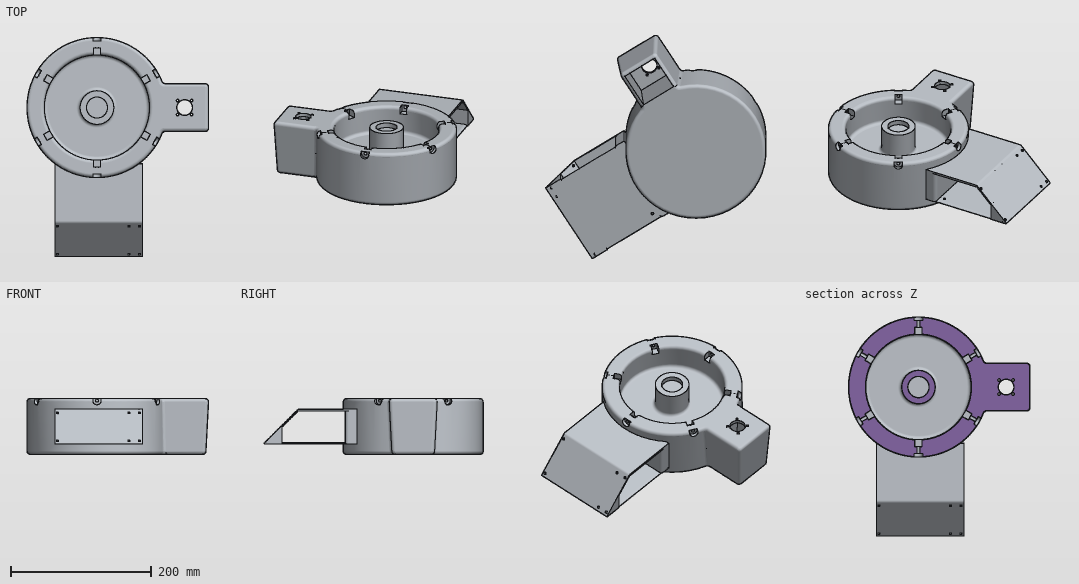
import cadquery as cq
import math

BODY_RADIUS = 100.0
BODY_HEIGHT = 80.0
EDGE_FILLET = 5.0
PAN_RADIUS = 75.0
PAN_FLOOR_Z = 40.0

HUB_RADIUS = 24.0
BEARING_DIAMETER = 30.0
BEARING_DEPTH = 7.0

ARM_BOTTOM_LENGTH = 155.34
ARM_BOTTOM_WIDTH = 60.6
ARM_DRAFT = 3.0
ARM_WALL = 5.0
ARM_CAVITY_START = BODY_RADIUS
MOTOR_X = 125.0
MOTOR_HOLE_DIAMETER = 22.0
MOTOR_SCREW_DIAMETER = 3.3
MOTOR_SCREW_PITCH = 20.0

SCREW_COUNT = 6
SCREW_FIRST_ANGLE = 30.0
SCREW_Z = 77.0
SCREW_DIAMETER = 4.2
HEAD_SLOT_WIDTH = 12.0
HEAD_SEAT_DEPTH = 5.0
HEAD_SEAT_RADIUS = BODY_RADIUS - HEAD_SEAT_DEPTH
NUT_POCKET_WIDTH = 10.0
NUT_POCKET_DEPTH = 10.0
NUT_POCKET_REACH = 10.0
NUT_SEAT_RADIUS = PAN_RADIUS + NUT_POCKET_REACH

CHUTE_X_MIN = -60.0
CHUTE_X_MAX = 65.0
CHUTE_BOTTOM_Z = 15.0
CHUTE_TOP_Z = 65.0
CHUTE_TIP_Y = -212.62
CHUTE_TIP_FILLET = 1.0
CHUTE_FOLD_FILLET = 5.0
CHUTE_FLOOR = 2.0
CHUTE_ROOF = 3.0
CHUTE_FRONT_WALL = 2.0
CHUTE_BACK_Y = -97.0
CHUTE_FRONT_Y = -187.0
CHUTE_POST_FILLET = 5.0
CHUTE_SILL_FILLET = 5.0

CHUTE_SHARP_TIP_Y = CHUTE_TIP_Y - CHUTE_TIP_FILLET * math.sqrt(2)
CHUTE_FOLD_Y = CHUTE_SHARP_TIP_Y + CHUTE_TOP_Z - CHUTE_BOTTOM_Z

PLATE_HOLE_DIAMETER = 3.05
PLATE_HOLE_X = (-56.5, 45.5, 60.5)
PLATE_HOLE_Y = (-169.4, -209.2)
PLATE_HOLE_DEPTH = 5.0

FLOOR_HOLE_DIAMETER = 3.4
FLOOR_HOLE_X = -48.5
FLOOR_HOLE_Y = -104.0

OVERCUT = 1.0


def drafted_block(x_start, x_end, width, height):
    """Block standing on Z=0 whose end and long sides lean outwards by the arm draft."""
    lean = height * math.tan(math.radians(ARM_DRAFT))
    length = x_end - x_start
    return (
        cq.Workplane("XY")
        .center(x_start + length / 2, 0)
        .rect(length, width)
        .workplane(offset=height)
        .center(lean / 2, 0)
        .rect(length + lean, width + 2 * lean)
        .loft(ruled=True)
    )


def upright_edges(x_start, x_end):
    """Selector for edges centred between two X positions and around half the body height."""
    middle_z = BODY_HEIGHT / 2
    return cq.selectors.BoxSelector(
        (x_start, -BODY_RADIUS, middle_z - EDGE_FILLET),
        (x_end, BODY_RADIUS, middle_z + EDGE_FILLET),
    )


def make_shell():
    """Round housing with the drafted motor arm blended into it, all outer edges rounded."""
    body = cq.Workplane("XY").circle(BODY_RADIUS).extrude(BODY_HEIGHT)
    arm = drafted_block(0, ARM_BOTTOM_LENGTH, ARM_BOTTOM_WIDTH, BODY_HEIGHT)
    shell = body.union(arm)
    junctions = upright_edges(PAN_RADIUS, BODY_RADIUS)
    shell = shell.edges(junctions).fillet(EDGE_FILLET)
    arm_corners = upright_edges(MOTOR_X, BODY_RADIUS + ARM_BOTTOM_LENGTH)
    rims = shell.faces("<Z or >Z").edges()
    return rims.add(shell.edges(arm_corners)).fillet(EDGE_FILLET)


def make_pan():
    """Volume of the round pan: filleted floor, rounded rim and the hub left standing."""
    inset = EDGE_FILLET * (1 - math.sqrt(0.5))
    hub_foot = HUB_RADIUS + EDGE_FILLET
    floor_edge = PAN_RADIUS - EDGE_FILLET
    fillet_top_z = PAN_FLOOR_Z + EDGE_FILLET
    rim_radius = PAN_RADIUS + EDGE_FILLET
    return (
        cq.Workplane("XZ")
        .moveTo(HUB_RADIUS, BODY_HEIGHT)
        .lineTo(HUB_RADIUS, fillet_top_z)
        .threePointArc((HUB_RADIUS + inset, PAN_FLOOR_Z + inset), (hub_foot, PAN_FLOOR_Z))
        .lineTo(floor_edge, PAN_FLOOR_Z)
        .threePointArc((PAN_RADIUS - inset, PAN_FLOOR_Z + inset), (PAN_RADIUS, fillet_top_z))
        .lineTo(PAN_RADIUS, BODY_HEIGHT - EDGE_FILLET)
        .threePointArc((PAN_RADIUS + inset, BODY_HEIGHT - inset), (rim_radius, BODY_HEIGHT))
        .close()
        .revolve(360, (0, 0, 0), (0, 1, 0))
    )


def make_bearing_seat():
    """Blind bearing seat in the top of the hub."""
    return (
        cq.Workplane("XY", origin=(0, 0, BODY_HEIGHT - BEARING_DEPTH))
        .circle(BEARING_DIAMETER / 2)
        .extrude(BEARING_DEPTH)
    )


def make_motor_cuts():
    """Arm cavity open at the bottom, and the motor holes through its roof."""
    cavity = drafted_block(
        ARM_CAVITY_START,
        ARM_BOTTOM_LENGTH - ARM_WALL,
        ARM_BOTTOM_WIDTH - 2 * ARM_WALL,
        BODY_HEIGHT - ARM_WALL,
    )
    roof = cq.Workplane("XY", origin=(MOTOR_X, 0, BODY_HEIGHT - 2 * ARM_WALL))
    shaft = roof.circle(MOTOR_HOLE_DIAMETER / 2).extrude(2 * ARM_WALL)
    screws = (
        roof.rect(MOTOR_SCREW_PITCH, MOTOR_SCREW_PITCH, forConstruction=True)
        .vertices()
        .circle(MOTOR_SCREW_DIAMETER / 2)
        .extrude(2 * ARM_WALL)
    )
    return cavity.union(shaft).union(screws)


def make_rim_screw():
    """Head slot, screw hole and nut pocket of one rim screw along +X."""
    head_seat = cq.Workplane("YZ", origin=(HEAD_SEAT_RADIUS, 0, 0))
    head_length = BODY_RADIUS + OVERCUT - HEAD_SEAT_RADIUS
    head = head_seat.center(0, SCREW_Z).circle(HEAD_SLOT_WIDTH / 2).extrude(head_length)
    slot_height = BODY_HEIGHT + OVERCUT - SCREW_Z
    slot = (
        head_seat.center(0, SCREW_Z + slot_height / 2)
        .rect(HEAD_SLOT_WIDTH, slot_height)
        .extrude(head_length)
    )
    hole = (
        cq.Workplane("YZ", origin=(PAN_RADIUS, 0, SCREW_Z))
        .circle(SCREW_DIAMETER / 2)
        .extrude(BODY_RADIUS - PAN_RADIUS)
    )
    pocket_length = 2 * (NUT_SEAT_RADIUS - PAN_RADIUS)
    pocket_x = NUT_SEAT_RADIUS - pocket_length / 2
    pocket = (
        cq.Workplane("XY", origin=(pocket_x, 0, BODY_HEIGHT - NUT_POCKET_DEPTH))
        .rect(pocket_length, NUT_POCKET_WIDTH)
        .extrude(NUT_POCKET_DEPTH)
    )
    return head.union(slot).union(hole).union(pocket)


def chute_prism(points):
    """Outline in the YZ plane extruded over the full width of the chute."""
    return (
        cq.Workplane("YZ", origin=(CHUTE_X_MIN, 0, 0))
        .polyline(points)
        .close()
        .extrude(CHUTE_X_MAX - CHUTE_X_MIN)
    )


def make_passage():
    """Passage through the chute along X, which also trims the housing wall."""
    floor_z = CHUTE_BOTTOM_Z + CHUTE_FLOOR
    roof_z = CHUTE_TOP_Z - CHUTE_ROOF
    fold_y = CHUTE_FOLD_Y + CHUTE_FRONT_WALL * math.sqrt(2) - CHUTE_ROOF
    return chute_prism(
        [
            (CHUTE_BACK_Y, floor_z),
            (CHUTE_FRONT_Y, floor_z),
            (CHUTE_FRONT_Y, roof_z - (fold_y - CHUTE_FRONT_Y)),
            (fold_y, roof_z),
            (CHUTE_BACK_Y, roof_z),
        ]
    )


def make_chute():
    """Chute with rounded posts, sills, fold and tip."""
    rear_y = -PAN_RADIUS - EDGE_FILLET
    deep_z = CHUTE_BOTTOM_Z - CHUTE_SILL_FILLET
    chute = chute_prism(
        [
            (rear_y, deep_z),
            (CHUTE_SHARP_TIP_Y - CHUTE_SILL_FILLET, deep_z),
            (CHUTE_FOLD_Y, CHUTE_TOP_Z),
            (rear_y, CHUTE_TOP_Z),
        ]
    ).cut(make_passage())
    middle_y = (CHUTE_FRONT_Y + CHUTE_BACK_Y) / 2
    middle_z = (CHUTE_BOTTOM_Z + CHUTE_TOP_Z) / 2
    for x in (CHUTE_X_MIN, CHUTE_X_MAX):
        post = cq.selectors.NearestToPointSelector((x, CHUTE_BACK_Y, middle_z))
        chute = chute.edges(post).fillet(CHUTE_POST_FILLET)
    for x in (CHUTE_X_MIN, CHUTE_X_MAX):
        sill = cq.selectors.NearestToPointSelector((x, middle_y, CHUTE_BOTTOM_Z + CHUTE_FLOOR))
        chute = chute.edges(sill).fillet(CHUTE_SILL_FILLET)
    middle_x = (CHUTE_X_MIN + CHUTE_X_MAX) / 2
    trim = chute_prism(
        [
            (rear_y, deep_z),
            (CHUTE_SHARP_TIP_Y - CHUTE_SILL_FILLET, deep_z),
            (CHUTE_SHARP_TIP_Y - CHUTE_SILL_FILLET, CHUTE_BOTTOM_Z),
            (rear_y, CHUTE_BOTTOM_Z),
        ]
    )
    chute = chute.cut(trim)
    fold = cq.selectors.NearestToPointSelector((middle_x, CHUTE_FOLD_Y, CHUTE_TOP_Z))
    tip = cq.selectors.NearestToPointSelector((middle_x, CHUTE_SHARP_TIP_Y, CHUTE_BOTTOM_Z))
    return chute.edges(fold).fillet(CHUTE_FOLD_FILLET).edges(tip).fillet(CHUTE_TIP_FILLET)


def make_plate_holes():
    """Screw holes square to the sloping front."""
    inward = cq.Vector(0, 1, -1)
    holes = cq.Workplane("XY")
    for x in PLATE_HOLE_X:
        for y in PLATE_HOLE_Y:
            mouth = cq.Vector(x, y, CHUTE_BOTTOM_Z + y - CHUTE_SHARP_TIP_Y)
            holes.add(cq.Solid.makeCylinder(PLATE_HOLE_DIAMETER / 2, PLATE_HOLE_DEPTH, mouth, inward))
    return holes.combine()


def make_floor_hole():
    """Screw hole through the chute floor."""
    return (
        cq.Workplane("XY", origin=(FLOOR_HOLE_X, FLOOR_HOLE_Y, CHUTE_BOTTOM_Z))
        .circle(FLOOR_HOLE_DIAMETER / 2)
        .extrude(CHUTE_FLOOR)
    )


result = make_shell().cut(make_passage()).union(make_chute())
result = result.cut(make_pan()).cut(make_bearing_seat()).cut(make_motor_cuts())
rim_screw = make_rim_screw()
for i in range(SCREW_COUNT):
    angle = SCREW_FIRST_ANGLE + 360 * i / SCREW_COUNT
    result = result.cut(rim_screw.rotate((0, 0, 0), (0, 0, 1), angle))
result = result.cut(make_plate_holes()).cut(make_floor_hole())